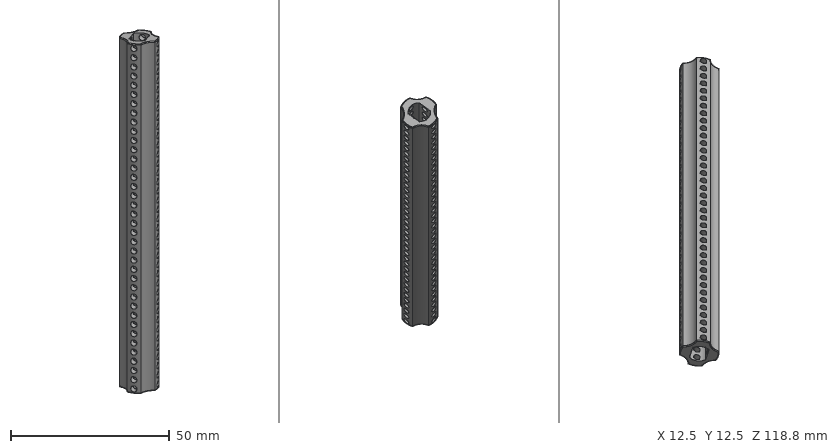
import cadquery as cq
import math

LENGTH = 118.8
OUTER_DIAMETER = 12.5

ARM_HALF_WIDTH = 2.3
VALLEY_DIAGONAL = 5.0

BORE_DIAMETER = 7.0
BORE_ACROSS_FLATS = 5.2

HOLE_COUNT = 38
HOLE_DIAMETER = 2.0
HOLE_PITCH = LENGTH / HOLE_COUNT

PARTITION_BOTTOM = 8.4
PARTITION_THICKNESS = 2.5
SCREW_HOLE_DIAMETER = 3.0

END_CHAMFER = 0.3


def polar_point(radius, angle):
    return (radius * math.cos(angle), radius * math.sin(angle))


def make_body():
    """Bar with four arms: convex tips on the outer circle, concave valleys between."""
    outer_radius = OUTER_DIAMETER / 2
    tip_half_angle = math.asin(ARM_HALF_WIDTH / outer_radius)
    outline = cq.Workplane("XY").moveTo(*polar_point(outer_radius, -tip_half_angle))
    for arm in range(4):
        arm_angle = arm * math.pi / 2
        next_arm_angle = arm_angle + math.pi / 2
        valley_angle = arm_angle + math.pi / 4
        outline = outline.threePointArc(
            polar_point(outer_radius, arm_angle),
            polar_point(outer_radius, arm_angle + tip_half_angle),
        )
        outline = outline.threePointArc(
            polar_point(VALLEY_DIAGONAL, valley_angle),
            polar_point(outer_radius, next_arm_angle - tip_half_angle),
        )
    bar = outline.close().extrude(LENGTH)
    return bar.faces("<Z or >Z").edges().chamfer(END_CHAMFER)


def make_bore():
    """Full-length round bore trimmed by flats facing +X and -X."""
    round_bore = cq.Workplane("XY").circle(BORE_DIAMETER / 2).extrude(LENGTH)
    flats = cq.Workplane("XY").rect(BORE_ACROSS_FLATS, BORE_DIAMETER).extrude(LENGTH)
    return round_bore.intersect(flats)


def make_cross_holes(plane):
    """One row of holes right through the bar, along the normal of the given plane."""
    centres = [(0, (index + 0.5) * HOLE_PITCH) for index in range(HOLE_COUNT)]
    return (
        cq.Workplane(plane)
        .pushPoints(centres)
        .circle(HOLE_DIAMETER / 2)
        .extrude(OUTER_DIAMETER / 2, both=True)
    )


def make_partition():
    """Round disc across the bore; it also plugs the cross holes at its level."""
    return (
        cq.Workplane("XY")
        .workplane(offset=PARTITION_BOTTOM)
        .circle(BORE_DIAMETER / 2)
        .circle(SCREW_HOLE_DIAMETER / 2)
        .extrude(PARTITION_THICKNESS)
    )


tube = make_body().cut(make_bore())
for hole_plane in ("XZ", "YZ"):
    tube = tube.cut(make_cross_holes(hole_plane))

result = tube.union(make_partition())